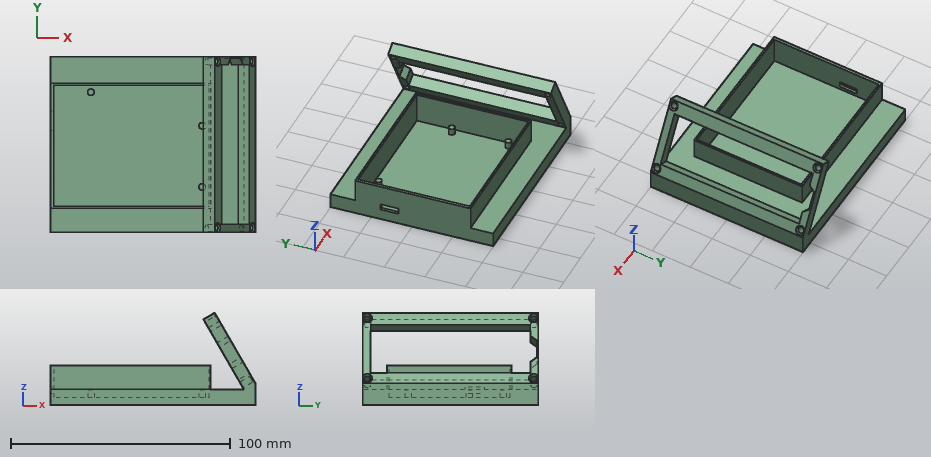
import cadquery as cq
import math

base_length = 93.2
base_width = 80.0
base_height = 7.2

tray_length = 72.8
tray_top = 18.2
tray_y_min = -28.9
tray_y_max = 27.8
front_wall = 1.5
back_wall = 0.9
side_wall = 0.9
floor_height = 3.7

pin_diameter = 3.0
pin_height = 3.3
pin_centers = [(18.4, 23.8), (69.0, 8.5), (69.0, -19.3)]

port_width = 9.0
port_height = 3.0
port_corner = 0.8
port_y = 10.9
port_z = 6.9

panel_angle = 60.0
panel_thickness = 6.0
panel_top_x = 74.65
panel_top_z = 42.0

window_start = 6.2
window_length = 25.35
window_width = 72.7
notch_depth = 2.8
notch_mouth = 13.5
notch_bottom = 8.95
screw_diameter = 3.0
screw_head_diameter = 4.5
countersink_angle = 90.0
screw_edge_gap = 2.1
screw_slopes = (2.8, 34.3)

cos_lean = math.cos(math.radians(panel_angle))
sin_lean = math.sin(math.radians(panel_angle))
tan_lean = math.tan(math.radians(panel_angle))

inner_top_x = panel_top_x - panel_thickness * sin_lean
inner_top_z = panel_top_z - panel_thickness * cos_lean
foot_x = inner_top_x + (inner_top_z - base_height) / tan_lean
rear_corner_z = panel_top_z - (base_length - panel_top_x) * tan_lean

panel_plane = cq.Plane(
    origin=(panel_top_x, 0, panel_top_z),
    xDir=(0, 1, 0),
    normal=(sin_lean, 0, cos_lean),
)


def block(x_min, x_max, y_min, y_max, z_min, z_max):
    size = (x_max - x_min, y_max - y_min, z_max - z_min)
    return cq.Workplane("XY").box(*size, centered=False).translate((x_min, y_min, z_min))


def base_with_panel():
    return (
        cq.Workplane("XZ")
        .moveTo(0, 0)
        .lineTo(base_length, 0)
        .lineTo(base_length, rear_corner_z)
        .lineTo(panel_top_x, panel_top_z)
        .lineTo(inner_top_x, inner_top_z)
        .lineTo(foot_x, base_height)
        .lineTo(0, base_height)
        .close()
        .extrude(base_width / 2, both=True)
    )


def tray_pocket():
    return block(
        front_wall, tray_length - back_wall,
        tray_y_min + side_wall, tray_y_max - side_wall,
        floor_height, tray_top,
    )


def pins():
    return (
        cq.Workplane("XY", origin=(0, 0, floor_height))
        .pushPoints(pin_centers)
        .circle(pin_diameter / 2)
        .extrude(pin_height)
    )


def port():
    return (
        cq.Workplane("YZ")
        .center(port_y, port_z)
        .rect(port_width, port_height)
        .extrude(front_wall)
        .edges("|X")
        .fillet(port_corner)
    )


def window():
    """Rectangular opening with a tapered notch in its +Y side."""
    side = window_width / 2
    top = -window_start
    bottom = top - window_length
    middle = (top + bottom) / 2
    return (
        cq.Workplane(panel_plane)
        .moveTo(-side, bottom)
        .lineTo(side, bottom)
        .lineTo(side, middle - notch_mouth / 2)
        .lineTo(side + notch_depth, middle - notch_bottom / 2)
        .lineTo(side + notch_depth, middle + notch_bottom / 2)
        .lineTo(side, middle + notch_mouth / 2)
        .lineTo(side, top)
        .lineTo(-side, top)
        .close()
        .extrude(-panel_thickness)
    )


def drill_screw_holes(solid):
    """Through holes countersunk on the upper face of the panel."""
    screw_y = base_width / 2 - screw_edge_gap
    centers = [(y, -slope) for y in (-screw_y, screw_y) for slope in screw_slopes]
    return (
        solid.copyWorkplane(cq.Workplane(panel_plane))
        .pushPoints(centers)
        .cskHole(screw_diameter, screw_head_diameter, countersink_angle, panel_thickness)
    )


body = drill_screw_holes(base_with_panel().cut(window()))
tray = block(0, tray_length, tray_y_min, tray_y_max, 0, tray_top)
result = body.union(tray).cut(tray_pocket()).cut(port()).union(pins())